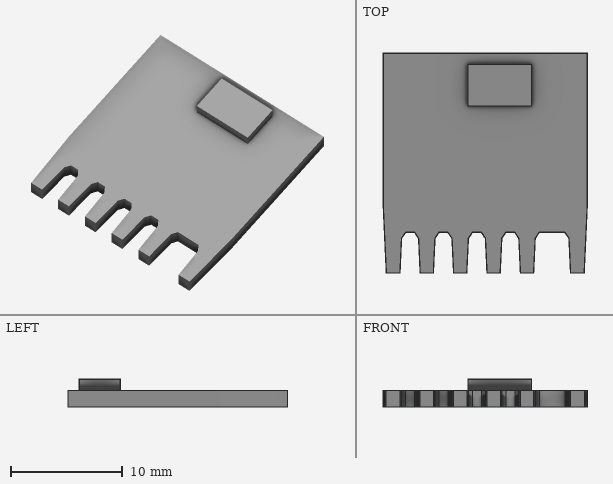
import cadquery as cq

board_width = 18.3
board_length = 19.7
board_thickness = 1.5
taper_length = 6.0
side_inset = 0.28

finger_pitch = 3.0
finger_tip_width = 1.2
regular_slots = 4
wide_slot_pitches = 1.5
slot_depth = 3.65
corner_width = 0.35
corner_length = 0.53

chip_width = 5.7
chip_length = 3.7
chip_height = 1.0
chip_center_x = 1.3
chip_back_gap = 1.0

half_width = board_width / 2
back_y = board_length / 2
tip_y = -back_y
taper_start_y = tip_y + taper_length
taper_slope = side_inset / taper_length


def make_board():
    """Plate whose sides narrow toward the finger tips."""
    outline = [
        (-half_width, back_y),
        (half_width, back_y),
        (half_width, taper_start_y),
        (half_width - side_inset, tip_y),
        (-half_width + side_inset, tip_y),
        (-half_width, taper_start_y),
    ]
    return cq.Workplane("XY").polyline(outline).close().extrude(board_thickness)


def make_slot(left_finger_x, finger_spacing):
    """Tapered gap between two fingers, with bevelled inner corners."""
    center_x = left_finger_x + finger_spacing / 2
    straight_length = slot_depth - corner_length
    mouth_half = (finger_spacing - finger_tip_width) / 2
    shoulder_half = mouth_half - taper_slope * straight_length
    roof_half = shoulder_half - corner_width
    shoulder_y = tip_y + straight_length
    roof_y = tip_y + slot_depth
    outline = [
        (center_x - mouth_half, tip_y),
        (center_x - shoulder_half, shoulder_y),
        (center_x - roof_half, roof_y),
        (center_x + roof_half, roof_y),
        (center_x + shoulder_half, shoulder_y),
        (center_x + mouth_half, tip_y),
    ]
    return cq.Workplane("XY").polyline(outline).close().extrude(board_thickness)


def make_chip():
    """Block standing on the board near its back edge."""
    center_y = back_y - chip_back_gap - chip_length / 2
    return (
        cq.Workplane("XY", origin=(chip_center_x, center_y, board_thickness))
        .rect(chip_width, chip_length)
        .extrude(chip_height)
    )


finger_x = -(regular_slots + wide_slot_pitches) * finger_pitch / 2
result = make_board()
for spacing in [finger_pitch] * regular_slots + [wide_slot_pitches * finger_pitch]:
    result = result.cut(make_slot(finger_x, spacing))
    finger_x += spacing
result = result.union(make_chip())